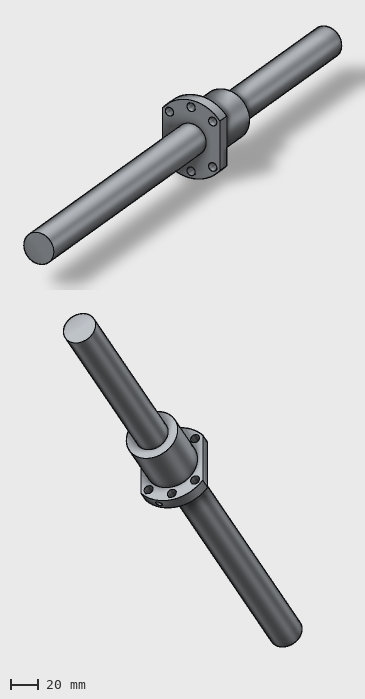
import cadquery as cq
import math

shaft_length = 424.0
shaft_diameter = 25.0

nut_front_y = 12.5
nut_length = 51.0
nut_diameter = 40.0
flange_thickness = 10.0
flange_diameter = 62.0
flange_width = 48.0

bolt_circle_diameter = 51.0
bolt_hole_diameter = 6.8
bolt_hole_spacing = 45.0
bolt_hole_steps = (-1, 0, 1)

port_diameter = 5.0
port_angle = -90.0 + bolt_hole_spacing / 2


def cylinder_along_y(diameter, start_y, length, x=0.0, z=0.0):
    """Cylinder that starts at start_y and extends toward +Y."""
    solid = cq.Solid.makeCylinder(diameter / 2, length, cq.Vector(x, start_y, z), cq.Vector(0, 1, 0))
    return cq.Workplane(obj=solid)


def make_shaft():
    return cylinder_along_y(shaft_diameter, -shaft_length / 2, shaft_length)


def make_flange():
    """Round flange with two flat sides and its mounting holes."""
    disc = cylinder_along_y(flange_diameter, nut_front_y, flange_thickness)
    flats = cq.Workplane().box(flange_width, flange_thickness, flange_diameter)
    flats = flats.translate((0, nut_front_y + flange_thickness / 2, 0))
    flange = disc.intersect(flats)

    for middle_angle in (90.0, -90.0):
        for step in bolt_hole_steps:
            angle = math.radians(middle_angle + step * bolt_hole_spacing)
            x = bolt_circle_diameter / 2 * math.cos(angle)
            z = bolt_circle_diameter / 2 * math.sin(angle)
            flange = flange.cut(cylinder_along_y(bolt_hole_diameter, nut_front_y, flange_thickness, x, z))
    return flange


def make_port():
    """Radial drilling from the shaft axis out through the middle of the flange rim."""
    angle = math.radians(port_angle)
    start = cq.Vector(0, nut_front_y + flange_thickness / 2, 0)
    outward = cq.Vector(math.cos(angle), 0, math.sin(angle))
    return cq.Workplane(obj=cq.Solid.makeCylinder(port_diameter / 2, flange_diameter, start, outward))


def make_nut():
    """Flange and barrel in one piece, bored to fit the shaft."""
    barrel = cylinder_along_y(nut_diameter, nut_front_y, nut_length)
    bore = cylinder_along_y(shaft_diameter, nut_front_y, nut_length)
    return make_flange().union(barrel).cut(bore).cut(make_port())


shaft = make_shaft()
nut = make_nut()

result = cq.Compound.makeCompound([shaft.val(), *nut.solids().vals()])